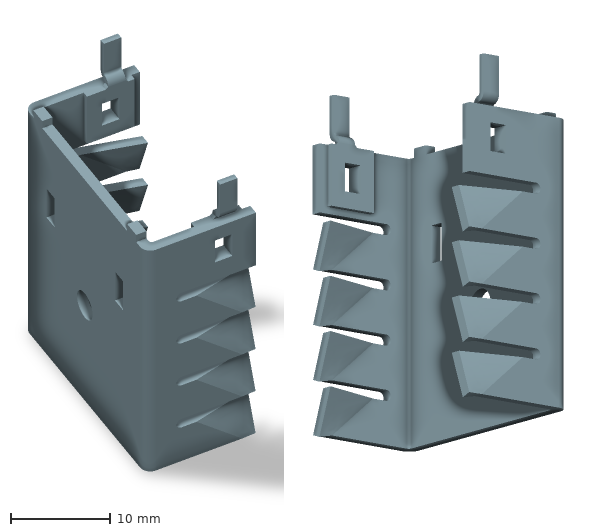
import cadquery as cq
import math

WIDTH = 25.4
DEPTH = 12.7
HEIGHT = 30.0
WALL = 1.18
BEND_OUTER_RADIUS = 1.18
BEND_INNER_RADIUS = 0.35

TAB_INNER_SPAN = 17.7
TAB_WIDTH = 1.85
TAB_HEIGHT = 0.95

HOLE_DIAMETER = 3.25
HOLE_Z = 12.93
PANEL_WINDOW_WIDTH = 1.68
PANEL_WINDOW_HEIGHT = 3.93
PANEL_WINDOW_SPACING = 14.3
PANEL_WINDOW_Z = 20.55

FIN_COUNT = 4
FIN_PITCH = 5.7
SLOT_HEIGHT = 1.15
SLOT_LENGTH = 9.15
SLOT_END_ROUNDING = 0.98
FIN_HEIGHT = FIN_PITCH - SLOT_HEIGHT
FOLD_TOP = 6.85
FOLD_BOTTOM = 1.57
FIN_TOP_SHIFT = 1.7
FIN_BOTTOM_SHIFT = 0.07
FIN_TIP_INSET = 1.1
FIN_TIP_DROP = 0.35

PLATE_THICKNESS = 0.68
PLATE_WIDTH = 5.5
PLATE_HEIGHT = 6.43
PLATE_Y = DEPTH - 3.7
PIN_WIDTH = 2.0
PIN_Y = DEPTH - 3.0
PIN_TOP = HEIGHT + 5.35
PIN_INSET = 0.25
SHOULDER = 0.3
JOGGLE_START = 0.2
JOGGLE_HEIGHT = 1.2

SIDE_WINDOW_WIDTH = 2.0
SIDE_WINDOW_HEIGHT = 2.95
SIDE_WINDOW_Z = HEIGHT - PLATE_HEIGHT / 2


def box(x_range, y_range, z_range):
    """Axis-aligned box between the given limits."""
    size = [end - start for start, end in (x_range, y_range, z_range)]
    corner = (x_range[0], y_range[0], z_range[0])
    return cq.Workplane("XY").box(*size, centered=False).translate(corner)


def centred(middle, size):
    """Limits of a span of the given size about its middle."""
    return (middle - size / 2, middle + size / 2)


def ruled_face(start_a, end_a, start_b, end_b):
    """Face swept by straight lines from edge A to edge B."""
    edge_a = cq.Edge.makeLine(cq.Vector(*start_a), cq.Vector(*end_a))
    edge_b = cq.Edge.makeLine(cq.Vector(*start_b), cq.Vector(*end_b))
    return cq.Face.makeRuledSurface(edge_a, edge_b)


def channel():
    """U-shaped sheet with rounded bends between the front panel and the side walls."""
    outer = box(centred(0, WIDTH), (0, DEPTH), (0, HEIGHT)).edges("|Z and <Y").fillet(BEND_OUTER_RADIUS)
    inner = box(centred(0, WIDTH - 2 * WALL), (WALL, DEPTH), (0, HEIGHT))
    return outer.cut(inner.edges("|Z and <Y").fillet(BEND_INNER_RADIUS))


def panel_tabs():
    """Pair of locating tabs standing on the front panel."""
    middle = (TAB_INNER_SPAN + TAB_WIDTH) / 2
    tab = box(centred(middle, TAB_WIDTH), (0, WALL), (HEIGHT, HEIGHT + TAB_HEIGHT))
    return tab.union(tab.mirror("YZ"))


def panel_openings():
    """Central screw hole and two rectangular windows through the front panel."""
    openings = cq.Workplane("XZ").center(0, HOLE_Z).circle(HOLE_DIAMETER / 2).extrude(-WALL)
    for x in centred(0, PANEL_WINDOW_SPACING):
        openings = openings.union(box(
            centred(x, PANEL_WINDOW_WIDTH),
            (0, WALL),
            centred(PANEL_WINDOW_Z, PANEL_WINDOW_HEIGHT),
        ))
    return openings


def side_window():
    """Window cutter passing through both side walls."""
    return box(
        centred(0, WIDTH),
        centred(PLATE_Y, SIDE_WINDOW_WIDTH),
        centred(SIDE_WINDOW_Z, SIDE_WINDOW_HEIGHT),
    )


def slot(z_bottom):
    """Round-ended slit through both side walls, open at the back edge."""
    end_radius = SLOT_END_ROUNDING * SLOT_HEIGHT / 2
    slit = box(centred(0, WIDTH), (DEPTH - SLOT_LENGTH, DEPTH), (z_bottom, z_bottom + SLOT_HEIGHT))
    return slit.edges("|X and <Y").fillet(end_radius)


def flat_corner(z_bottom):
    """Flat part of both side walls behind a fin's fold line."""
    outline = [
        (DEPTH - FOLD_BOTTOM, z_bottom),
        (DEPTH, z_bottom),
        (DEPTH, z_bottom + FIN_HEIGHT),
        (DEPTH - FOLD_TOP, z_bottom + FIN_HEIGHT),
    ]
    return cq.Workplane("YZ").polyline(outline).close().extrude(WIDTH / 2, both=True)


def bent_corner(z_bottom):
    """Bent corner of a fin on the -X side wall, behind its fold line."""
    outside = -WIDTH / 2
    inside = outside + WALL
    z_top = z_bottom + FIN_HEIGHT
    fold_top_out = (outside, DEPTH - FOLD_TOP, z_top)
    fold_top_in = (inside, DEPTH - FOLD_TOP, z_top)
    fold_bottom_out = (outside, DEPTH - FOLD_BOTTOM, z_bottom)
    fold_bottom_in = (inside, DEPTH - FOLD_BOTTOM, z_bottom)
    back_top_out = (outside + FIN_TOP_SHIFT, DEPTH, z_top)
    back_top_in = (inside + FIN_TOP_SHIFT, DEPTH, z_top)
    back_bottom_out = (outside + FIN_BOTTOM_SHIFT, DEPTH, z_bottom)
    tip = (outside + FIN_TIP_INSET, DEPTH, z_bottom - FIN_TIP_DROP)
    faces = [
        ruled_face(fold_top_out, fold_bottom_out, fold_top_in, fold_bottom_in),
        ruled_face(back_top_out, back_bottom_out, back_top_in, tip),
        ruled_face(fold_top_out, fold_bottom_out, back_top_out, back_bottom_out),
        ruled_face(fold_top_in, fold_bottom_in, back_top_in, tip),
        ruled_face(fold_top_out, fold_top_in, back_top_out, back_top_in),
        ruled_face(fold_bottom_out, fold_bottom_in, back_bottom_out, tip),
    ]
    return cq.Workplane(cq.Solid.makeSolid(cq.Shell.makeShell(faces)).fix())


def make_housing():
    """Finned channel with its tabs, openings and slots."""
    body = channel().union(panel_tabs()).cut(panel_openings()).cut(side_window())
    for index in range(FIN_COUNT):
        z_bottom = index * FIN_PITCH
        corner = bent_corner(z_bottom)
        body = body.cut(slot(z_bottom + FIN_HEIGHT)).cut(flat_corner(z_bottom))
        body = body.union(corner).union(corner.mirror("YZ"))
    return body


def pin_profile():
    """Side outline of the joggled pin on the -X side, in XZ, from the plate's top edge upward."""
    plate_middle = -WIDTH / 2 + WALL + PLATE_THICKNESS / 2
    pin_middle = -WIDTH / 2 + PIN_INSET + PLATE_THICKNESS / 2
    offset = plate_middle - pin_middle
    sweep = 2 * math.atan2(offset, JOGGLE_HEIGHT)
    bend_radius = JOGGLE_HEIGHT / (2 * math.sin(sweep))
    small = bend_radius - PLATE_THICKNESS / 2
    large = bend_radius + PLATE_THICKNESS / 2
    z_low = HEIGHT + JOGGLE_START
    z_high = z_low + JOGGLE_HEIGHT

    def low_bend(radius, angle):
        x_centre = plate_middle - bend_radius
        return (x_centre + radius * math.cos(angle), z_low + radius * math.sin(angle))

    def high_bend(radius, angle):
        x_centre = pin_middle + bend_radius
        return (x_centre - radius * math.cos(angle), z_high - radius * math.sin(angle))

    return (
        cq.Workplane("XZ")
        .moveTo(plate_middle + PLATE_THICKNESS / 2, HEIGHT)
        .lineTo(*low_bend(large, 0))
        .threePointArc(low_bend(large, sweep / 2), low_bend(large, sweep))
        .threePointArc(high_bend(small, sweep / 2), high_bend(small, 0))
        .lineTo(pin_middle + PLATE_THICKNESS / 2, PIN_TOP)
        .lineTo(pin_middle - PLATE_THICKNESS / 2, PIN_TOP)
        .lineTo(*high_bend(large, 0))
        .threePointArc(high_bend(large, sweep / 2), high_bend(large, sweep))
        .threePointArc(low_bend(small, sweep / 2), low_bend(small, 0))
        .lineTo(plate_middle - PLATE_THICKNESS / 2, HEIGHT)
        .close()
    )


def pin_width_outline():
    """Block limiting the pin along Y: straight sides above a flared root."""
    half = PIN_WIDTH / 2
    outline = [
        (PIN_Y - half - SHOULDER, HEIGHT),
        (PIN_Y + half + SHOULDER, HEIGHT),
        (PIN_Y + half, HEIGHT + SHOULDER),
        (PIN_Y + half, PIN_TOP),
        (PIN_Y - half, PIN_TOP),
        (PIN_Y - half, HEIGHT + SHOULDER),
    ]
    return cq.Workplane("YZ").polyline(outline).close().extrude(WIDTH, both=True)


def make_terminal():
    """Terminal on the -X side: windowed plate, flared shoulder and joggled pin."""
    inside = -WIDTH / 2 + WALL
    plate = box(
        (inside, inside + PLATE_THICKNESS),
        centred(PLATE_Y, PLATE_WIDTH),
        (HEIGHT - PLATE_HEIGHT, HEIGHT),
    ).cut(side_window())
    return plate.union(pin_profile().extrude(WIDTH, both=True).intersect(pin_width_outline()))


housing = make_housing()

terminals = []
for mirrored in (False, True):
    terminal = make_terminal()
    if mirrored:
        terminal = terminal.mirror("YZ")
    terminals.append(terminal.val())

result = cq.Compound.makeCompound([housing.val(), *terminals])